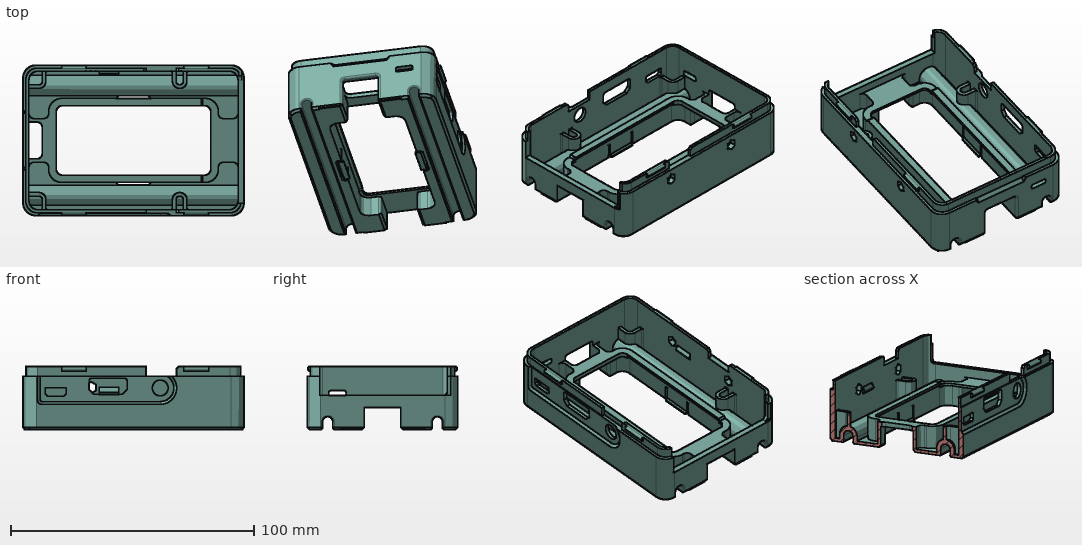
import cadquery as cq
import math

LENGTH, WIDTH, HEIGHT = 91.0, 62.0, 26.0
LIP_HEIGHT = 4.0
SHOULDER_Z = HEIGHT - LIP_HEIGHT
WALL = 2.5
LIP_INSET = WALL / 2
CORNER_R, LIP_CORNER_R, CAVITY_CORNER_R = 5.4, 4.6, 3.7
BOTTOM_CHAMFER = 1.0
FLOOR = 1.5
SKIN = 1.0
HALF_X, HALF_Y = LENGTH / 2, WIDTH / 2
INNER_X, INNER_Y = HALF_X - WALL, HALF_Y - WALL

DECK_Z = 11.0
DECK_UNDER_Z = 9.0
DECK_STEP = 1.0
DECK_STEP_X0, DECK_STEP_X1 = 27.8, 28.4
SHEET = 1.5
DECK_HALF_X, DECK_HALF_Y, ARM_HALF_Y = 34.9, 17.3, 9.0
DECK_CORNER_R = 5.4
DECK_ARM_R, POCKET_ARM_R = 2.0, 1.2
OPENING_X, OPENING_Y, OPENING_R = 63.5, 28.5, 2.5
RIM_THICKNESS = 1.0
NOTCH_END_X, NOTCH_R = -37.6, 2.0

RAIL_Y, RAIL_Z, RAIL_R = 22.55, 3.2, 4.2
CHANNEL_R, CHANNEL_FLARE = 2.05, 0.6

TONGUE_HALF_X, TONGUE_SLIT, TONGUE_Z = 6.1, 1.0, 6.0
LATCH_DEPTH, LATCH_FACE_Z, LATCH_TOP_Z = 0.8, 0.4, 1.1
LATCH_GAP = 1.0

POST_TOP, POST_R, POST_FILLET = 13.0, 3.0, 0.6
POST_X, POST_Y = 19.0, 24.4
POST_SPACING = 58.0
CORNER_POST_X = POST_X - POST_SPACING

GAP_X0, GAP_X1, GAP_CHAMFER = 5.2, 17.6, 1.0
SNAP_LENGTH, SNAP_R = 10.1, 1.0
SNAP_XS = (-24.55, 25.8)
END_TOP_Z = 14.0
END_Y0, END_Y1, END_FILLET = -25.8, 26.6, 1.6
END_SKIN_Y1 = 28.0

PORT_Z = 17.1
JACK_X, JACK_D = 11.0, 6.5
POWER_X0, POWER_X1, POWER_Z0, POWER_Z1 = -36.4, -27.6, 13.75, 17.25
POWER_CHAMFER, POWER_R = 1.0, 0.5
VIDEO_X0, VIDEO_X1, VIDEO_Z0, VIDEO_Z1 = -18.3, -2.6, 14.5, 21.1
VIDEO_CHAMFER, VIDEO_R = 2.0, 1.2
PANEL_R, PANEL_BEVEL = 6.75, 1.15
PANEL_X0, PANEL_CORNER_R = -39.5, 1.8

VENT_XS, VENT_Z, VENT_FLATS = (-17.5, 17.5), 17.25, 4.1
CLIP_X0, CLIP_X1, CLIP_DEPTH = -14.0, -6.0, 1.0
CLIP_Z0, CLIP_PEAK_Z, CLIP_Z1 = 14.4, 15.4, 17.3

WINDOW_HALF_Y, WINDOW_TOP, WINDOW_R = ARM_HALF_Y - SHEET, 13.4, 1.0
WINDOW_FLARE = 1.0
CARD_Y, CARD_WIDTH, CARD_Z0, CARD_Z1, CARD_R = -18.55, 7.1, 13.7, 16.0, 0.9
PRY_TOP_HALF_Y, PRY_HALF_Y, PRY_DEPTH, PRY_INNER_DEPTH = 12.5, 11.1, 1.9, 0.25

CUT = 1.0
EMBED = 1.0
TOLERANCE = 0.1


def box(x0, x1, y0, y1, z0, z1):
    """Block between two corners."""
    return cq.Workplane("XY").box(x1 - x0, y1 - y0, z1 - z0, centered=False).translate((x0, y0, z0))


def vertical_edges(solid, x, y):
    """Vertical edges of a solid at (+-x, +-y)."""
    def at_corner(edge):
        center = edge.Center()
        x_gap = abs(abs(center.x) - abs(x))
        y_gap = abs(abs(center.y) - abs(y))
        return max(x_gap, y_gap) < TOLERANCE
    return solid.edges("|Z").filter(at_corner)


def rounded_block(half_x, half_y, radius, z0, z1):
    """Centred block with rounded vertical edges."""
    return box(-half_x, half_x, -half_y, half_y, z0, z1).edges("|Z").fillet(radius)


def both_sides(solid):
    """A solid together with its mirror image across the XZ plane."""
    return solid.union(solid.mirror("XZ"))


def shell_walls():
    """Rounded outer walls, floor and thinner lip around an open cavity."""
    outer = rounded_block(HALF_X, HALF_Y, CORNER_R, 0, SHOULDER_Z).faces("<Z").chamfer(BOTTOM_CHAMFER)
    lip = rounded_block(HALF_X - LIP_INSET, HALF_Y - LIP_INSET, LIP_CORNER_R, SHOULDER_Z - CUT, HEIGHT)
    cavity = rounded_block(INNER_X, INNER_Y, CAVITY_CORNER_R, FLOOR, HEIGHT + CUT)
    return outer.union(lip).cut(cavity)


def cross_block(inset, corner_r, arm_r, z0, z1):
    """Cross-shaped block: rounded centre plus arms, blended into each other and the end walls."""
    half_x, half_y, arm_y = DECK_HALF_X - inset, DECK_HALF_Y - inset, ARM_HALF_Y - inset
    block = box(-half_x, half_x, -half_y, half_y, z0, z1)
    block = block.union(box(-INNER_X, INNER_X, -arm_y, arm_y, z0, z1))
    block = vertical_edges(block, half_x, half_y).fillet(corner_r)
    return vertical_edges(block, half_x, arm_y).fillet(arm_r)


def deck():
    """Solid form of the raised deck, lowered at its +X end."""
    block = cross_block(0, DECK_CORNER_R, DECK_ARM_R, 0, DECK_Z)
    for side in (-1, 1):
        foot = box(-EMBED, EMBED, -DECK_HALF_Y, DECK_HALF_Y, 0, DECK_Z)
        block = block.union(foot.translate((side * (INNER_X + EMBED), 0, 0)))
    block = vertical_edges(block, INNER_X, ARM_HALF_Y).fillet(DECK_ARM_R)
    drop = (
        cq.Workplane("XZ")
        .polyline([
            (DECK_STEP_X0, DECK_Z),
            (DECK_STEP_X1, DECK_Z - DECK_STEP),
            (INNER_X + 2 * EMBED, DECK_Z - DECK_STEP),
            (INNER_X + 2 * EMBED, DECK_Z),
        ])
        .close()
        .extrude(HALF_Y, both=True)
    )
    return block.cut(drop)


def bottom_chamfer_cutter(half_width, chamfer):
    """Tool that chamfers both bottom edges of a lengthwise channel centred on y = 0."""
    return (
        cq.Workplane("YZ", origin=(-HALF_X - CUT, 0, 0))
        .polyline([
            (-half_width - chamfer, 0),
            (half_width + chamfer, 0),
            (half_width, chamfer),
            (-half_width, chamfer),
        ])
        .close()
        .extrude(LENGTH + 2 * CUT)
    )


def deck_pocket():
    """Underside pocket of the deck, its top opening and the open notch in the -X arm."""
    pocket = cross_block(SHEET, DECK_CORNER_R - SHEET, POCKET_ARM_R, -CUT, DECK_UNDER_Z)
    opening = rounded_block(OPENING_X / 2, OPENING_Y / 2, OPENING_R, 0, DECK_Z + CUT)
    relief_half_y = DECK_HALF_Y - SHEET
    relief = box(
        -OPENING_X / 2 + OPENING_R, DECK_STEP_X0, -relief_half_y, relief_half_y, 0, DECK_Z - RIM_THICKNESS)
    notch = box(-INNER_X, NOTCH_END_X, -WINDOW_HALF_Y, WINDOW_HALF_Y, 0, DECK_Z + CUT)
    notch = notch.edges("|Z and >X").fillet(NOTCH_R)
    end_exits = box(-HALF_X - CUT, HALF_X + CUT, -WINDOW_HALF_Y, WINDOW_HALF_Y, -CUT, DECK_UNDER_Z)
    foot_chamfers = bottom_chamfer_cutter(WINDOW_HALF_Y, BOTTOM_CHAMFER)
    pocket = pocket.union(end_exits).union(foot_chamfers)
    return pocket.union(opening).union(relief).union(notch)


def rails():
    """Half-round rails with straight skirts down to the floor."""
    rail = cq.Workplane("YZ", origin=(-INNER_X, RAIL_Y, RAIL_Z)).circle(RAIL_R).extrude(2 * INNER_X)
    skirt = box(-INNER_X, INNER_X, RAIL_Y - RAIL_R, RAIL_Y + RAIL_R, 0, RAIL_Z)
    above_bottom = box(-INNER_X, INNER_X, 0, HALF_Y, 0, HEIGHT)
    return both_sides(rail.union(skirt).intersect(above_bottom))


def flared(opening, half_width, top, radius):
    """An opening through the -X wall, centred on y = 0, with its outer edges rounded outwards."""
    margin = 2 * radius
    half_y, z1 = half_width + margin, top + margin
    block = box(-HALF_X, -HALF_X + WALL, -half_y, half_y, -CUT, z1)

    def on_rim(edge):
        center = edge.Center()
        return abs(center.y) < half_width + radius / 2 and center.z < top + radius / 2

    plate = block.cut(opening)
    rim = plate.faces("<X").edges().filter(on_rim)
    return opening.union(block.cut(rim.fillet(radius)))


def rail_channels():
    """Arched channels through the rails and both end walls, flared at their mouths."""
    channel = (
        cq.Workplane("YZ", origin=(-HALF_X - CUT, 0, 0))
        .moveTo(-CHANNEL_R, -CUT)
        .lineTo(-CHANNEL_R, RAIL_Z)
        .threePointArc((0, RAIL_Z + CHANNEL_R), (CHANNEL_R, RAIL_Z))
        .lineTo(CHANNEL_R, -CUT)
        .close()
        .extrude(LENGTH + 2 * CUT)
    )
    channel = flared(channel, CHANNEL_R, RAIL_Z + CHANNEL_R, CHANNEL_FLARE)
    channel = channel.union(channel.mirror("YZ"))
    channel = channel.union(bottom_chamfer_cutter(CHANNEL_R, CHANNEL_FLARE))
    return both_sides(channel.translate((0, RAIL_Y, 0)))


def side_posts():
    """U-shaped standoffs that open towards the long walls."""
    bore_r = POST_R - SHEET
    post = box(POST_X - POST_R, POST_X + POST_R, POST_Y, INNER_Y + EMBED, 0, POST_TOP)
    post = post.union(box(POST_X - 2 * POST_R, POST_X + 2 * POST_R, INNER_Y, INNER_Y + EMBED, 0, POST_TOP))
    for x in (POST_X - POST_R, POST_X + POST_R):
        post = vertical_edges(post, x, INNER_Y).fillet(POST_FILLET)
    post = post.union(cq.Workplane("XY").center(POST_X, POST_Y).circle(POST_R).extrude(POST_TOP))
    bore = cq.Workplane("XY").center(POST_X, POST_Y).circle(bore_r).extrude(POST_TOP)
    bore = bore.union(box(POST_X - bore_r, POST_X + bore_r, POST_Y, INNER_Y, 0, POST_TOP))
    return both_sides(post.cut(bore))


def corner_posts():
    """L-shaped standoffs that open towards the -X corners."""
    x1, y0 = CORNER_POST_X + POST_R, POST_Y - POST_R
    post = box(-INNER_X, x1, y0, INNER_Y, 0, POST_TOP)
    post = post.union(box(-INNER_X, x1 + POST_R, INNER_Y, INNER_Y + EMBED, 0, POST_TOP))
    post = vertical_edges(post, x1, INNER_Y).fillet(POST_FILLET)
    post = vertical_edges(post, x1, y0).fillet(POST_R)
    bore = box(-INNER_X, x1 - SHEET, y0 + SHEET, INNER_Y, 0, POST_TOP)
    bore = bore.edges("|Z and >X and <Y").fillet(POST_R - SHEET)
    return both_sides(post.cut(bore))


def tongue_slots():
    """Slits beside the latch tongues and the floor gaps behind them."""
    outer_x = TONGUE_HALF_X + TONGUE_SLIT
    inner_y = DECK_HALF_Y - SHEET
    slots = (
        cq.Workplane("XY", origin=(0, 0, -CUT))
        .polyline([
            (-outer_x, DECK_HALF_Y),
            (outer_x, DECK_HALF_Y),
            (outer_x - LATCH_GAP, DECK_HALF_Y + LATCH_GAP),
            (-outer_x + LATCH_GAP, DECK_HALF_Y + LATCH_GAP),
        ])
        .close()
        .extrude(TONGUE_Z + CUT)
    )
    for x0 in (-outer_x, TONGUE_HALF_X):
        slots = slots.union(box(x0, x0 + TONGUE_SLIT, inner_y - CUT, DECK_HALF_Y, -CUT, TONGUE_Z))
    return both_sides(slots)


def latches():
    """Sloped ridges along the lower edges of the tongues."""
    y = DECK_HALF_Y - SHEET
    ridge = (
        cq.Workplane("YZ")
        .polyline([(y, 0), (y - LATCH_DEPTH, 0), (y - LATCH_DEPTH, LATCH_FACE_Z), (y, LATCH_TOP_Z)])
        .close()
        .extrude(TONGUE_HALF_X, both=True)
    )
    return both_sides(ridge)


def snap_ridges():
    """Half-round ridges outside the lip, flush with its top."""
    ridges = cq.Workplane("XY")
    for x in SNAP_XS:
        ridge = (
            cq.Workplane("YZ", origin=(x, HALF_Y - LIP_INSET, HEIGHT - SNAP_R))
            .circle(SNAP_R)
            .extrude(SNAP_LENGTH / 2, both=True)
        )
        outside = box(x - SNAP_LENGTH, x + SNAP_LENGTH, INNER_Y + LIP_INSET / 2, HALF_Y, SHOULDER_Z, HEIGHT)
        ridges = ridges.union(ridge.intersect(outside))
    return both_sides(ridges)


def lip_gaps():
    """Gaps in the lip on both long sides; only the -Y gap has a square left end."""
    def gap(chamfer_left):
        left = GAP_X0 - GAP_CHAMFER if chamfer_left else GAP_X0
        return (
            cq.Workplane("XZ")
            .polyline([
                (GAP_X0, SHOULDER_Z),
                (GAP_X1, SHOULDER_Z),
                (GAP_X1, HEIGHT - GAP_CHAMFER),
                (GAP_X1 + GAP_CHAMFER, HEIGHT),
                (left, HEIGHT),
                (GAP_X0, HEIGHT - GAP_CHAMFER),
            ])
            .close()
        )
    return gap(False).extrude(HALF_Y).union(gap(True).extrude(-HALF_Y))


def end_wall_cut():
    """Lowers the +X end wall; the outer skin is cut a little further towards +Y."""
    top = HEIGHT + CUT
    through = box(INNER_X - CUT, HALF_X + CUT, END_Y0, END_Y1, END_TOP_Z, top)
    through = through.edges("|X and >Y and <Z").fillet(END_FILLET)
    skin = box(HALF_X - SKIN, HALF_X + CUT, END_Y0, END_SKIN_Y1, END_TOP_Z, top)
    lip_skin = box(HALF_X - LIP_INSET - SKIN, HALF_X, END_Y0, END_SKIN_Y1, SHOULDER_Z, top)
    return through.union(skin).union(lip_skin)


def panel_outline(workplane, inset):
    """Connector panel outline: square at the left, rounded about the jack at the right."""
    radius = PANEL_R - inset
    corner_r = PANEL_CORNER_R - inset
    x0, z0, top = PANEL_X0 + inset, PORT_Z - radius, SHOULDER_Z + CUT
    return (
        workplane.moveTo(x0, top)
        .lineTo(x0, z0 + corner_r)
        .radiusArc((x0 + corner_r, z0), -corner_r)
        .lineTo(JACK_X, z0)
        .threePointArc((JACK_X + radius, PORT_Z), (JACK_X, PORT_Z + radius))
        .lineTo(JACK_X, top)
        .close()
    )


def connector_panel():
    """Bevelled recess around the connectors, open at the shoulder."""
    face = cq.Workplane("XZ", origin=(0, -HALF_Y, 0))
    recess = panel_outline(panel_outline(face, 0).workplane(offset=-SKIN), PANEL_BEVEL).loft(ruled=True)
    return recess.intersect(box(-HALF_X, HALF_X, -HALF_Y, 0, 0, SHOULDER_Z))


def port(x0, x1, z0, z1, chamfer, radius):
    """Port through the -Y wall with chamfered lower and rounded upper corners."""
    opening = box(x0, x1, -HALF_Y - CUT, -INNER_Y + CUT / 2, z0, z1)
    return opening.edges("|Y and <Z").chamfer(chamfer).edges("|Y and >Z").fillet(radius)


def connector_ports():
    """Power and video ports and the round jack hole."""
    power = port(POWER_X0, POWER_X1, POWER_Z0, POWER_Z1, POWER_CHAMFER, POWER_R)
    video = port(VIDEO_X0, VIDEO_X1, VIDEO_Z0, VIDEO_Z1, VIDEO_CHAMFER, VIDEO_R)
    jack_start = (JACK_X, -INNER_Y + CUT / 2, PORT_Z)
    jack = cq.Workplane("XZ", origin=jack_start).circle(JACK_D / 2).extrude(WALL + CUT)
    return power.union(video).union(jack)


def vents():
    """Hexagonal vents with upright flats through the +Y wall."""
    corner_d = VENT_FLATS / math.cos(math.pi / 6)
    tools = cq.Workplane("XY")
    for x in VENT_XS:
        start = (x, HALF_Y + CUT, VENT_Z)
        hexagon = cq.Workplane("XZ", origin=start).polygon(6, corner_d).extrude(WALL + 2 * CUT)
        tools = tools.union(hexagon.rotate(start, (x, 0, VENT_Z), 30))
    return tools


def board_clip():
    """Wedge on the inside of the +Y wall that holds the board down."""
    return (
        cq.Workplane("YZ", origin=(CLIP_X0, 0, 0))
        .polyline([(INNER_Y, CLIP_Z0), (INNER_Y - CLIP_DEPTH, CLIP_PEAK_Z), (INNER_Y, CLIP_Z1)])
        .close()
        .extrude(CLIP_X1 - CLIP_X0)
    )


def window():
    """Window in the -X wall, open at the bottom and rounded on the outside."""
    opening = box(-HALF_X - CUT, -INNER_X, -WINDOW_HALF_Y, WINDOW_HALF_Y, -CUT, WINDOW_TOP)
    opening = opening.edges("|X and >Z").fillet(WINDOW_R)
    return flared(opening, WINDOW_HALF_Y, WINDOW_TOP, WINDOW_FLARE)


def card_slot():
    """Rounded slot through the -X wall."""
    y0 = CARD_Y - CARD_WIDTH / 2
    slot = box(-HALF_X - CUT, -INNER_X + CUT, y0, y0 + CARD_WIDTH, CARD_Z0, CARD_Z1)
    return slot.edges("|X").fillet(CARD_R)


def pry_groove():
    """Sloped groove in the -X shoulder with slanted ends, mirrored above the shoulder."""
    def outline(workplane, tip_y, half_y, depth):
        return workplane.polyline([
            (-tip_y, 0), (-half_y, depth), (half_y, depth), (tip_y, 0), (half_y, -depth), (-half_y, -depth),
        ]).close()
    face = cq.Workplane("YZ", origin=(-HALF_X, 0, SHOULDER_Z))
    outer = outline(face, PRY_TOP_HALF_Y, PRY_HALF_Y, PRY_DEPTH)
    inner_tip_y = PRY_HALF_Y + PRY_INNER_DEPTH
    inner = outline(outer.workplane(offset=LIP_INSET), inner_tip_y, PRY_HALF_Y, PRY_INNER_DEPTH)
    return inner.loft(ruled=True)


result = shell_walls()
for addition in (deck(), rails(), side_posts(), corner_posts()):
    result = result.union(addition)
for tool in (
    deck_pocket(), rail_channels(), tongue_slots(), lip_gaps(), end_wall_cut(), connector_panel(),
    connector_ports(), vents(), window(), card_slot(), pry_groove(),
):
    result = result.cut(tool)
for addition in (latches(), snap_ridges(), board_clip()):
    result = result.union(addition)